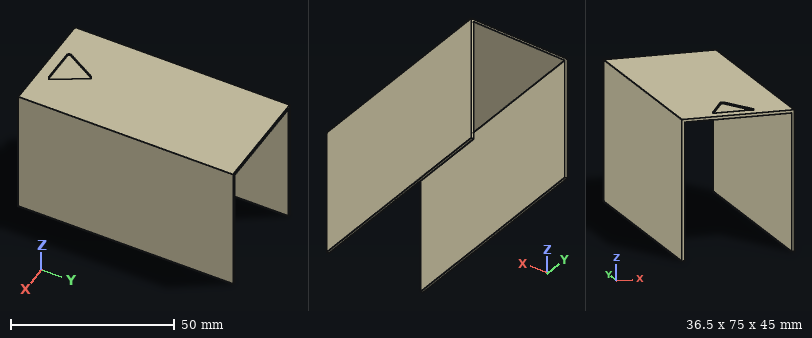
import cadquery as cq
import math

length = 75.0
width = 36.5
height = 45.0
wall = 1.0

arrow_side = 14.2
arrow_corner_radius = 0.75
arrow_depth = wall / 2
arrow_base_gap = 4.0


def make_channel():
    outer = cq.Workplane("XY").box(width, length, height, centered=(True, True, False))
    inner = cq.Workplane("XY").box(
        width - 2 * wall, length, height - wall, centered=(True, True, False)
    )
    return outer.cut(inner)


def make_arrow():
    base_y = -length / 2 + arrow_base_gap
    tip_y = base_y + arrow_side * math.sqrt(3) / 2
    corners = [(-arrow_side / 2, base_y), (arrow_side / 2, base_y), (0, tip_y)]
    return (
        cq.Workplane("XY", origin=(0, 0, height - arrow_depth))
        .polyline(corners)
        .close()
        .extrude(arrow_depth)
        .edges("|Z")
        .fillet(arrow_corner_radius)
    )


result = make_channel().cut(make_arrow())